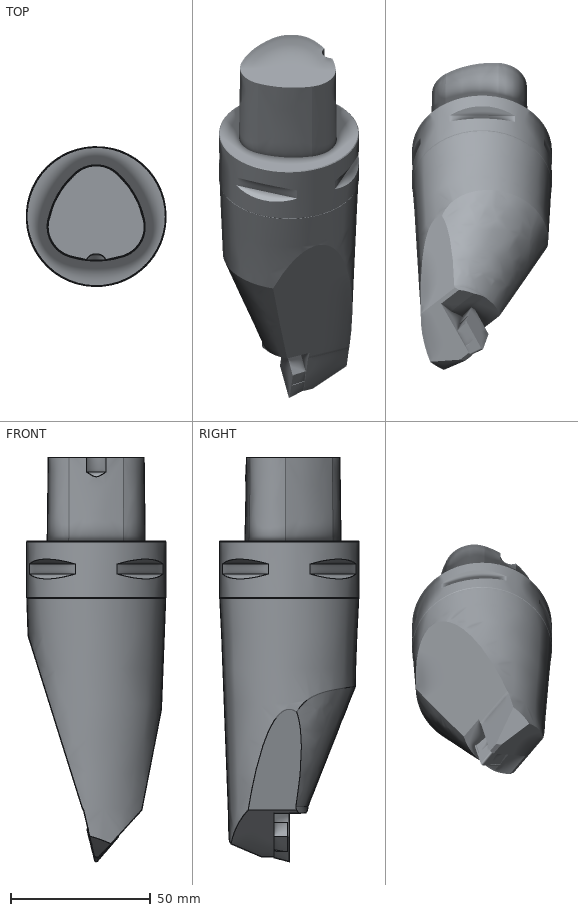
import cadquery as cq
import math


shank_length = 30.0
shank_taper = 0.7
lobe_reach = 18.5
flat_reach = 16.0
lobe_radius = 11.3
lobe_angles = (90, 210, 330)
lobe_pitch = 120
notch_radius = 3.9
notch_axis_y = -17.3
notch_depth = 5.2
notch_cone_depth = 2.9

flange_radius = 25.1
flange_height = 20.6
flange_chamfer = 0.3
slot_count = 4
first_slot_angle = 45
slot_z = -10.0
slot_floor_distance = 22.2
slot_floor_height = 3.5
slot_mouth_height = 7.1

neck_top_radius = 25.0
neck_low_radius = 21.3
slim_top_z = -50.5
slim_top_radius = 24.4
slim_low_z = -95.3
slim_low_radius = 16.5
slim_low_center = (5.5, -9.9)

tool_length = 115.0
insert_edge = 12.6
insert_angle = 55
insert_lean = 14
insert_thickness = 5.5
insert_clearance = 7
insert_nose_radius = 0.6
insert_tip_x = -0.3
insert_recess_size = 10.5
insert_recess_depth = 0.3
insert_rim = 0.6

side_top = (-24.5, -33.6)
side_break = (-5.1, -95.5)
side_step = (-4.5, -96.7)
side_end = (-0.5, -113.8)
far_top = (23.9, -57.7)
far_break = (16.4, -96.4)
far_end = (0.3, -114.1)
pocket_wall = [(-5.8, -93.5), (3.3, -95.4), (5.8, -95.8), (10.2, -97.5), (17.4, -97.7)]
holder_end_z = -113.2
relief_point = (0, -21.8, -106.5)
relief_normal = (0.32, 0.55, 1)

reach = 87.0


def polar(distance, degrees):
    angle = math.radians(degrees)
    return cq.Vector(distance * math.cos(angle), distance * math.sin(angle))


def xy(vector):
    return (vector.x, vector.y)


def line_x(start, end, z):
    """X at height z on the line through two (x, z) points."""
    return start[0] + (z - start[1]) * (end[0] - start[0]) / (end[1] - start[1])


def xz_prism(points):
    """Prism along Y, on both sides of Y = 0, over an outline of (x, z) points."""
    return cq.Workplane("XZ").polyline(points).close().extrude(reach, both=True)


def make_shank():
    """Three lobe arcs joined tangentially by three flatter arcs, drawn in towards the top."""
    lobe_offset = lobe_reach - lobe_radius
    gap = lobe_reach - flat_reach
    flat_offset = gap * (2 * lobe_offset - gap) / (lobe_offset - 2 * gap)

    def joint(lobe_angle, flat_angle):
        lobe_center = polar(lobe_offset, lobe_angle)
        flat_center = polar(-flat_offset, flat_angle)
        return xy(lobe_center + (lobe_center - flat_center).normalized() * lobe_radius)

    start = joint(lobe_angles[0], lobe_angles[0] - lobe_pitch / 2)
    outline = cq.Workplane("XY").moveTo(*start)
    for lobe_angle in lobe_angles:
        flat_angle = lobe_angle + lobe_pitch / 2
        lobe_end = joint(lobe_angle, flat_angle)
        flat_end = joint(lobe_angle + lobe_pitch, flat_angle)
        outline = outline.threePointArc(xy(polar(lobe_reach, lobe_angle)), lobe_end)
        outline = outline.threePointArc(xy(polar(flat_reach, flat_angle)), flat_end)
    return outline.close().extrude(shank_length, taper=shank_taper)


def make_notch():
    """Vertical round-bottomed keyway with a conical floor, at the -Y flat of the shank."""
    floor_z = shank_length - notch_depth
    profile = [
        (0, shank_length),
        (notch_radius, shank_length),
        (notch_radius, floor_z),
        (0, floor_z - notch_cone_depth),
    ]
    notch = cq.Workplane("XZ").polyline(profile).close().revolve(360, (0, 0), (0, 1))
    return notch.translate((0, notch_axis_y, 0))


def make_flange():
    """Disc with chamfered rims and evenly spaced straight slots that flare towards the outside."""
    flange = cq.Workplane("XY").circle(flange_radius).extrude(-flange_height)
    flange = flange.faces("<Z or >Z").chamfer(flange_chamfer)
    flare = (slot_mouth_height - slot_floor_height) / 2 / (flange_radius - slot_floor_distance)
    outer = flange_radius + 1.5
    outer_height = slot_floor_height + 2 * flare * (outer - slot_floor_distance)
    slot = (
        cq.Workplane("XZ")
        .polyline([
            (slot_floor_distance, slot_z - slot_floor_height / 2),
            (outer, slot_z - outer_height / 2),
            (outer, slot_z + outer_height / 2),
            (slot_floor_distance, slot_z + slot_floor_height / 2),
        ])
        .close()
        .extrude(flange_radius, both=True)
    )
    for i in range(slot_count):
        angle = first_slot_angle + i * 360 / slot_count
        flange = flange.cut(slot.rotate((0, 0, 0), (0, 0, 1), angle))
    return flange


def frustum(top_z, top_radius, low_z, low_radius, low_center=(0, 0)):
    top = cq.Workplane("XY", origin=(0, 0, top_z)).circle(top_radius)
    return top.workplane(offset=low_z - top_z).center(*low_center).circle(low_radius).loft()


def make_neck():
    """Full cone, of which the lower +Y half keeps only what lies inside the slimmer cone."""
    neck = frustum(-flange_height, neck_top_radius, -tool_length, neck_low_radius)
    slim_cone = frustum(slim_top_z, slim_top_radius, slim_low_z, slim_low_radius, slim_low_center)
    slim_end = cq.Workplane("XY", origin=(*slim_low_center, slim_low_z)).circle(slim_low_radius)
    slim_side = slim_cone.union(slim_end.extrude(-reach))

    back_half = cq.Workplane("XY", origin=(0, reach / 2, slim_top_z)).rect(reach, reach)
    return neck.cut(back_half.extrude(-reach).cut(slim_side))


def make_side_cut():
    """Everything beyond the two flat faces on the -X side, with the small step between them."""
    top_z = -flange_height
    bottom_z = -tool_length - 1.5
    return xz_prism([
        (line_x(side_top, side_break, top_z), top_z),
        side_break,
        side_step,
        (line_x(side_step, side_end, bottom_z), bottom_z),
        (-reach, bottom_z),
        (-reach, top_z),
    ])


def make_far_cut():
    """Everything beyond the two flat faces on the +X side."""
    top_z = -flange_height
    bottom_z = -tool_length - 1.5
    return xz_prism([
        (line_x(far_top, far_break, top_z), top_z),
        far_break,
        (line_x(far_break, far_end, bottom_z), bottom_z),
        (reach, bottom_z),
        (reach, top_z),
    ])


def make_pocket():
    """Open space under the stepped wall, from the insert seat out through the +Y side."""
    start_z = pocket_wall[0][1]
    end_z = pocket_wall[-1][1]
    open_space = [(reach, end_z), (reach, -2 * reach), (-reach, -2 * reach), (-reach, start_z)]
    outline = [*pocket_wall, *open_space]
    pocket = cq.Workplane("XZ", origin=(0, -insert_thickness, 0)).polyline(outline).close()
    return pocket.extrude(-reach)


def make_relief():
    """Clearance below the slanted face under the insert seat."""
    plane = cq.Plane(origin=relief_point, xDir=(1, 0, -relief_normal[0]), normal=relief_normal)
    return cq.Workplane(plane).rect(2 * reach, 2 * reach).extrude(-reach)


def make_end_cut():
    end = cq.Workplane("XY", origin=(0, 0, holder_end_z)).rect(reach, reach)
    return end.extrude(-reach)


def rhombus_corners():
    """Sharp corners in (x, z): tip, left, back, right. The rounded nose ends at the tool length."""
    half_angle = math.radians(insert_angle / 2)
    tilt = half_angle - math.radians(insert_lean)
    nose_setback = insert_nose_radius * (math.cos(tilt) / math.sin(half_angle) - 1)
    tip = cq.Vector(insert_tip_x, -tool_length - nose_setback)
    left = polar(insert_edge, 90 + insert_lean)
    right = polar(insert_edge, 90 + insert_lean - insert_angle)
    corners = [tip, tip + left, tip + left + right, tip + right]
    return [xy(corner) for corner in corners]


def make_insert_blank():
    """Rhombic plate whose sides slope inwards behind the rake face."""
    blank = cq.Workplane("XZ").polyline(rhombus_corners()).close()
    blank = blank.extrude(insert_thickness, taper=insert_clearance)
    return blank.edges("not(<Y or >Y)").fillet(insert_nose_radius)


def make_insert():
    """The sides are set back a little around the two blunt corners, below a rim at the rake face."""
    blank = make_insert_blank()
    core = (
        cq.Workplane("XZ").polyline(rhombus_corners()).close()
        .offset2D(-insert_recess_depth).extrude(insert_thickness, taper=insert_clearance)
    )
    _, left, _, right = rhombus_corners()
    around_corners = (
        cq.Workplane("XZ", origin=(0, -insert_rim, 0))
        .pushPoints([left, right]).rect(insert_recess_size, insert_recess_size).extrude(insert_thickness)
    )
    return blank.cut(around_corners.cut(core))


def make_holder(seated_insert):
    """Neck, flange and shank in one piece, with a seat that matches the insert."""
    body = make_neck()
    for cutter in (make_side_cut(), make_far_cut(), make_pocket(), make_relief(), make_end_cut()):
        body = body.cut(cutter)
    body = body.union(make_flange())
    body = body.union(make_shank().cut(make_notch()))
    return body.cut(seated_insert)


insert = make_insert()
holder = make_holder(insert)

result = cq.Compound.makeCompound([holder.solids().val(), insert.solids().val()])